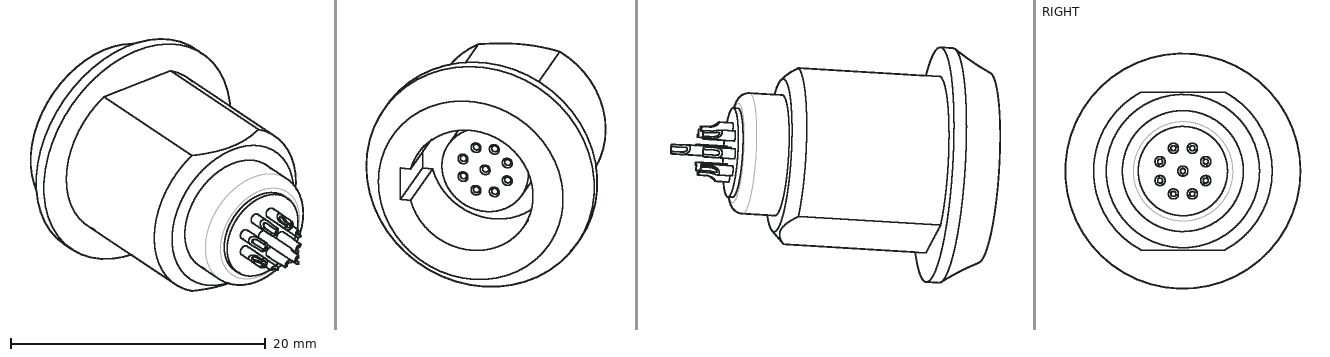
import cadquery as cq
import math


flange_diameter = 18.5
flange_radius = flange_diameter / 2
flange_nose_radius = 7.5
flange_nose_length = 3.01
flange_length = 4.0
flange_flare_radius = 19.92

body_radius = 7.02
body_end = 16.35
body_chamfer = 1.0
flat_height = 6.2

collar_radius = 4.75
collar_end = 19.82
collar_fillet = 0.85
disc_end = 20.2

bore_radius = 5.05
bore_depth = 7.0
key_width = 2.65
key_reach = 5.7
insulator_radius = 3.5
insulator_recess = 4.55

contact_radius = 0.4
contact_circle_radius = 1.95
ring_contact_count = 8
ring_contact_end = 22.65
centre_contact_end = 24.9
solder_bore_radius = 0.2
solder_bore_depth = 1.5
cut_flat_length = 0.6
cut_run_out_radius = 1.0
cut_floor = -0.02
socket_bore_radius = 0.25
socket_bore_depth = 3.0


def x_cylinder(radius, start, end):
    """Solid cylinder on the connector axis between two X positions."""
    return cq.Workplane("YZ").workplane(offset=start).circle(radius).extrude(end - start)


def make_flange():
    """Flange whose front narrows along a slightly hollow curve."""
    rise = flange_radius - flange_nose_radius
    chord = math.hypot(flange_nose_length, rise)
    sag = flange_flare_radius - math.sqrt(flange_flare_radius**2 - (chord / 2) ** 2)
    flare_middle = (
        flange_nose_length / 2 + sag * rise / chord,
        (flange_nose_radius + flange_radius) / 2 - sag * flange_nose_length / chord,
    )
    return (
        cq.Workplane("XY")
        .lineTo(0, flange_nose_radius)
        .threePointArc(flare_middle, (flange_nose_length, flange_radius))
        .lineTo(flange_length, flange_radius)
        .lineTo(flange_length, 0)
        .close()
        .revolve(360, (0, 0, 0), (1, 0, 0))
    )


def make_body():
    """Round body with a chamfered end and flats above and below."""
    round_body = x_cylinder(body_radius, 0, body_end).faces(">X").chamfer(body_chamfer)
    flats = cq.Workplane("XY").box(2 * body_end, 2 * body_radius, 2 * flat_height)
    return round_body.intersect(flats)


def make_collar():
    """Rear collar with a rounded end and the thin insulator disc behind it."""
    collar = x_cylinder(collar_radius, flange_length, collar_end)
    collar = collar.faces(">X").edges().fillet(collar_fillet)
    return collar.union(x_cylinder(insulator_radius, flange_length, disc_end))


def make_socket():
    """Cavity of the mating socket, leaving the insulator standing inside."""
    key_slot = cq.Workplane("XY").box(bore_depth, key_reach, key_width, centered=(False, False, True))
    cavity = x_cylinder(bore_radius, 0, bore_depth).union(key_slot)
    return cavity.cut(x_cylinder(insulator_radius, insulator_recess, bore_depth))


def make_contact(end):
    """Contact on the X axis whose solder cup opens toward +Y."""
    pin = x_cylinder(contact_radius, collar_end, end)
    run_out_end = end - cut_flat_length
    run_out_angle = math.acos(1 - (contact_radius - cut_floor) / cut_run_out_radius)

    def run_out_point(angle):
        """Point on the cut's run-out arc, at an angle from its flat floor."""
        x = run_out_end - cut_run_out_radius * math.sin(angle)
        y = cut_floor + cut_run_out_radius * (1 - math.cos(angle))
        return (x, y)

    cup_opening = (
        cq.Workplane("XY")
        .moveTo(end, cut_floor)
        .lineTo(run_out_end, cut_floor)
        .threePointArc(run_out_point(run_out_angle / 2), run_out_point(run_out_angle))
        .lineTo(end, contact_radius)
        .close()
        .extrude(contact_radius, both=True)
    )
    solder_bore = x_cylinder(solder_bore_radius, end - solder_bore_depth, end)
    return pin.cut(cup_opening).cut(solder_bore)


def make_socket_bore():
    """Blind contact hole on the X axis with a countersunk mouth."""
    bore_end = insulator_recess + socket_bore_depth
    mouth_depth = contact_radius - socket_bore_radius
    return (
        cq.Workplane("XY")
        .moveTo(insulator_recess, 0)
        .lineTo(insulator_recess, contact_radius)
        .lineTo(insulator_recess + mouth_depth, socket_bore_radius)
        .lineTo(bore_end, socket_bore_radius)
        .lineTo(bore_end, 0)
        .close()
        .revolve(360, (0, 0, 0), (1, 0, 0))
    )


def to_contact_circle(shape, index):
    """Move a shape from the axis to one place on the contact circle, turned outward."""
    pitch_angle = 360 / ring_contact_count
    return shape.translate((0, contact_circle_radius, 0)).rotate(
        (0, 0, 0), (1, 0, 0), (index + 0.5) * pitch_angle
    )


result = make_flange().union(make_body()).union(make_collar()).cut(make_socket())

result = result.union(make_contact(centre_contact_end)).cut(make_socket_bore())
for index in range(ring_contact_count):
    result = result.union(to_contact_circle(make_contact(ring_contact_end), index))
    result = result.cut(to_contact_circle(make_socket_bore(), index))